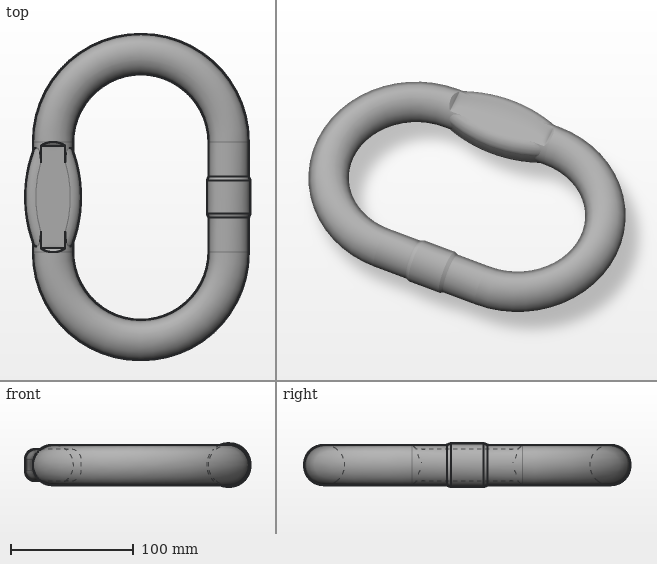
import cadquery as cq
import math

bar_diameter = 33.0
link_length = 265.7
link_width = 176.0
bar_radius = bar_diameter / 2
bend_radius = (link_width - bar_diameter) / 2
straight_length = link_length - link_width

sleeve_radius = 35.5 / 2
sleeve_length = 33.2
sleeve_chamfer_length = 3.2
sleeve_chamfer_depth = 1.3

grip_thickness = 26.3
grip_half_width = 22.9
grip_side_radius = 109
grip_edge_fillet = 8.8
flat_depth = bar_radius - grip_thickness / 2
flat_length = straight_length - 2 * flat_depth


def oval_link():
    """Sweep the round bar around a closed oval."""
    path = cq.Workplane("XY").slot2D(straight_length + 2 * bend_radius, 2 * bend_radius, 90)
    return (
        cq.Workplane("XZ")
        .center(bend_radius, 0)
        .circle(bar_radius)
        .sweep(path)
    )


def sleeve():
    """Collar with shallow conical ends, revolved about the +X leg."""
    half_length = sleeve_length / 2
    cylinder_end = half_length - sleeve_chamfer_length
    end_radius = sleeve_radius - sleeve_chamfer_depth
    profile = (
        cq.Workplane("XY")
        .moveTo(0, -half_length)
        .lineTo(end_radius, -half_length)
        .lineTo(sleeve_radius, -cylinder_end)
        .lineTo(sleeve_radius, cylinder_end)
        .lineTo(end_radius, half_length)
        .lineTo(0, half_length)
        .close()
    )
    return profile.revolve(360, (0, 0, 0), (0, 1, 0)).translate((bend_radius, 0, 0))


def flat_cutter():
    """Trapezoidal cut leaving a flat with ramped ends on top of the -X leg."""
    return (
        cq.Workplane("YZ", origin=(-bend_radius, 0, 0))
        .moveTo(-straight_length / 2, bar_radius)
        .lineTo(-flat_length / 2, grip_thickness / 2)
        .lineTo(flat_length / 2, grip_thickness / 2)
        .lineTo(straight_length / 2, bar_radius)
        .close()
        .extrude(bar_radius, both=True)
    )


def grip():
    """Plate with two bowed, rounded sides, centred on the -X leg."""
    half_length = flat_length / 2
    side_drop = grip_side_radius - math.sqrt(grip_side_radius**2 - half_length**2)
    end_half_width = grip_half_width - side_drop
    plate = (
        cq.Workplane("XY", origin=(-bend_radius, 0, -grip_thickness / 2))
        .moveTo(-end_half_width, -half_length)
        .lineTo(end_half_width, -half_length)
        .threePointArc((grip_half_width, 0), (end_half_width, half_length))
        .lineTo(-end_half_width, half_length)
        .threePointArc((-grip_half_width, 0), (-end_half_width, -half_length))
        .close()
        .extrude(grip_thickness)
    )
    bowed_edges = plate.faces("|Z").edges("%CIRCLE")
    return bowed_edges.fillet(grip_edge_fillet)


top_cut = flat_cutter()
bottom_cut = top_cut.mirror("XY")

result = oval_link().cut(top_cut).cut(bottom_cut).union(grip()).union(sleeve())